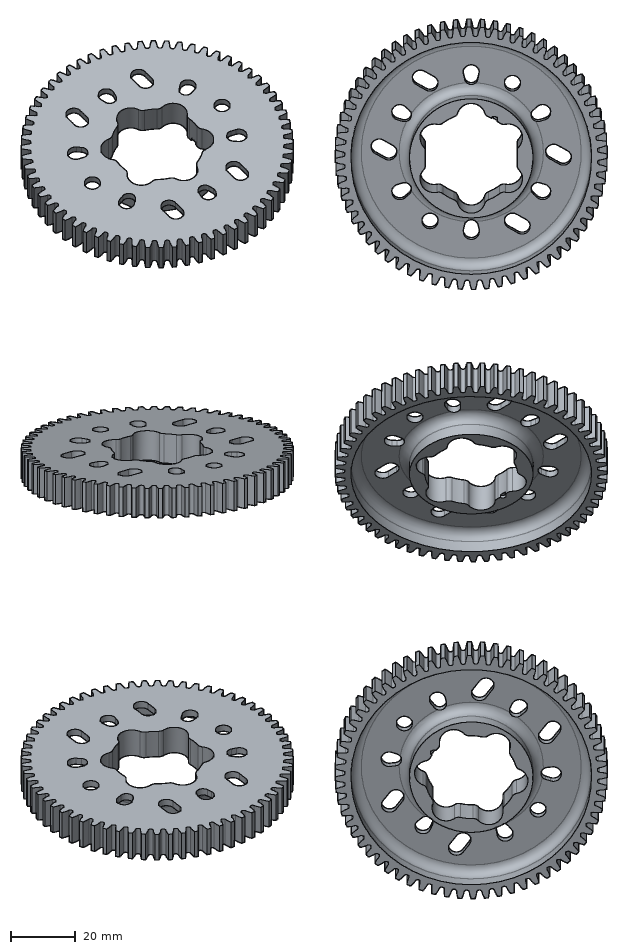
import cadquery as cq
import math

span = 83.8
thickness = 9.55

web_thickness = 2.35
hub_radius = 19.0
rim_inner_radius = 37.0
pocket_fillet = 3.2

tooth_count = 64
pressure_angle = math.radians(14.5)
dedendum_factor = 1.35
root_rounding_factor = 0.5
flank_steps = 4

bore_radius = 14.2
lobe_count = 6
lobe_circle_radius = 13.15
lobe_radius = 4.35
lobe_blend_radius = 2.1

index_mark_radius = 1.0
index_mark_depth = 1.0

bolt_circle_radius = 25.4
bolt_hole_diameter = 4.95
bolt_pitch_deg = 30
bolt_hole_radius = bolt_hole_diameter / 2
tapered_slot_inner_distance = 23.7
tapered_slot_inner_radius = 2.1


def polar(radius, angle):
    return (radius * math.cos(angle), radius * math.sin(angle))


def involute(angle):
    return math.tan(angle) - angle


pitch_angle = 2 * math.pi / tooth_count
pitch_to_tip = tooth_count / (tooth_count + 2)
tip_pressure_angle = math.acos(pitch_to_tip * math.cos(pressure_angle))
base_half_angle = pitch_angle / 4 + involute(pressure_angle)
tip_half_angle = base_half_angle - involute(tip_pressure_angle)
tip_radius = span / 2 / math.cos(pitch_angle / 2 - tip_half_angle)
module = 2 * tip_radius / (tooth_count + 2)
pitch_radius = module * tooth_count / 2
base_radius = pitch_radius * math.cos(pressure_angle)
root_radius = pitch_radius - dedendum_factor * module
flank_start_radius = root_radius + root_rounding_factor * module


def flank_points(centre_angle, side):
    """Involute points from gap rounding to tip; side is -1 or +1 about the tooth centre."""
    points = []
    for step in range(flank_steps + 1):
        radius = flank_start_radius + (tip_radius - flank_start_radius) * step / flank_steps
        half_angle = base_half_angle - involute(math.acos(base_radius / radius))
        points.append(polar(radius, centre_angle + side * half_angle))
    return points


def gear_blank():
    """Toothed disc; each tooth is followed by the round bottom of the gap after it."""
    outline = cq.Workplane("XY").moveTo(*flank_points(pitch_angle / 2, -1)[0])
    for tooth in range(tooth_count):
        centre = (tooth + 0.5) * pitch_angle
        rising = flank_points(centre, -1)
        falling = flank_points(centre, 1)[::-1]
        next_start = flank_points(centre + pitch_angle, -1)[0]
        gap_bottom = polar(root_radius, centre + pitch_angle / 2)
        outline = outline.spline(rising[1:], includeCurrent=True)
        outline = outline.threePointArc(polar(tip_radius, centre), falling[0])
        outline = outline.spline(falling[1:], includeCurrent=True)
        outline = outline.threePointArc(gap_bottom, next_start)
    return outline.close().extrude(thickness)


def lobed_bore():
    bore = cq.Workplane("XY").circle(bore_radius).extrude(thickness)
    lobes = (
        cq.Workplane("XY")
        .polarArray(lobe_circle_radius, 0, 360, lobe_count)
        .circle(lobe_radius)
        .extrude(thickness)
    )
    return bore.union(lobes).edges("|Z").fillet(lobe_blend_radius)


def underside_pocket():
    """Ring-shaped recess from the underside, rounded where its walls meet the web."""
    ring = cq.Workplane("XY").circle(rim_inner_radius).circle(hub_radius)
    return ring.extrude(thickness - web_thickness).faces(">Z").edges().fillet(pocket_fillet)


def index_mark():
    """Shallow round notch in the underside of the hub, centred on the bore edge at +Y."""
    return cq.Workplane("XY").center(0, bore_radius).circle(index_mark_radius).extrude(index_mark_depth)


def round_hole():
    return cq.Workplane("XY").center(bolt_circle_radius, 0).circle(bolt_hole_radius).extrude(thickness)


def tapered_slot():
    """Slot on +X: a bolt hole joined by tangent sides to a smaller end nearer the axis."""
    lean = math.asin(
        (bolt_hole_radius - tapered_slot_inner_radius) / (bolt_circle_radius - tapered_slot_inner_distance)
    )
    tangent_angle = math.pi / 2 + lean
    outer_x, outer_y = polar(bolt_hole_radius, tangent_angle)
    inner_x, inner_y = polar(tapered_slot_inner_radius, tangent_angle)
    outer_x += bolt_circle_radius
    inner_x += tapered_slot_inner_distance
    return (
        cq.Workplane("XY")
        .moveTo(inner_x, inner_y)
        .lineTo(outer_x, outer_y)
        .threePointArc((bolt_circle_radius + bolt_hole_radius, 0), (outer_x, -outer_y))
        .lineTo(inner_x, -inner_y)
        .threePointArc((tapered_slot_inner_distance - tapered_slot_inner_radius, 0), (inner_x, inner_y))
        .close()
        .extrude(thickness)
    )


def straight_slots():
    """Four slots along X, from the 30 degree bolt position out to the bolt circle's X reach."""
    inner_x, offset_y = polar(bolt_circle_radius, math.radians(bolt_pitch_deg))
    slot_middle = (inner_x + bolt_circle_radius) / 2
    slot_length = bolt_circle_radius - inner_x + 2 * bolt_hole_radius
    return (
        cq.Workplane("XY")
        .rarray(2 * slot_middle, 2 * offset_y, 2, 2)
        .slot2D(slot_length, 2 * bolt_hole_radius)
        .extrude(thickness)
    )


def rotated(shape, angle_deg):
    return shape.rotate((0, 0, 0), (0, 0, 1), angle_deg)


result = gear_blank().cut(lobed_bore()).cut(straight_slots()).cut(underside_pocket()).cut(index_mark())
for angle_deg in (90, 270):
    result = result.cut(rotated(round_hole(), angle_deg))
for angle_deg in range(0, 360, 2 * bolt_pitch_deg):
    result = result.cut(rotated(tapered_slot(), angle_deg))